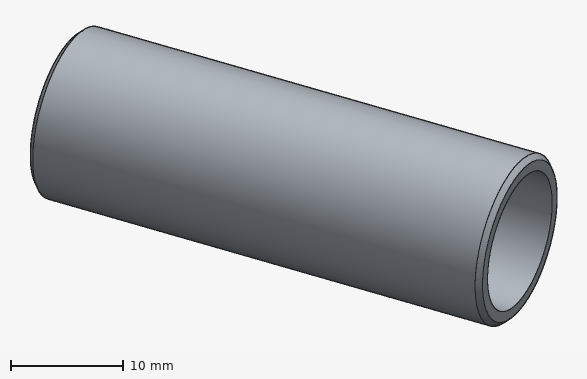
import cadquery as cq

length = 45.0
outer_diameter = 16.0
bore_diameter = 13.0
end_chamfer = 0.5

bar = cq.Workplane("YZ", origin=(-length / 2, 0, 0)).circle(outer_diameter / 2).extrude(length)

chamfered_bar = bar.faces("<X or >X").edges().chamfer(end_chamfer)

result = chamfered_bar.faces(">X").workplane(centerOption="CenterOfMass").circle(bore_diameter / 2).cutThruAll()